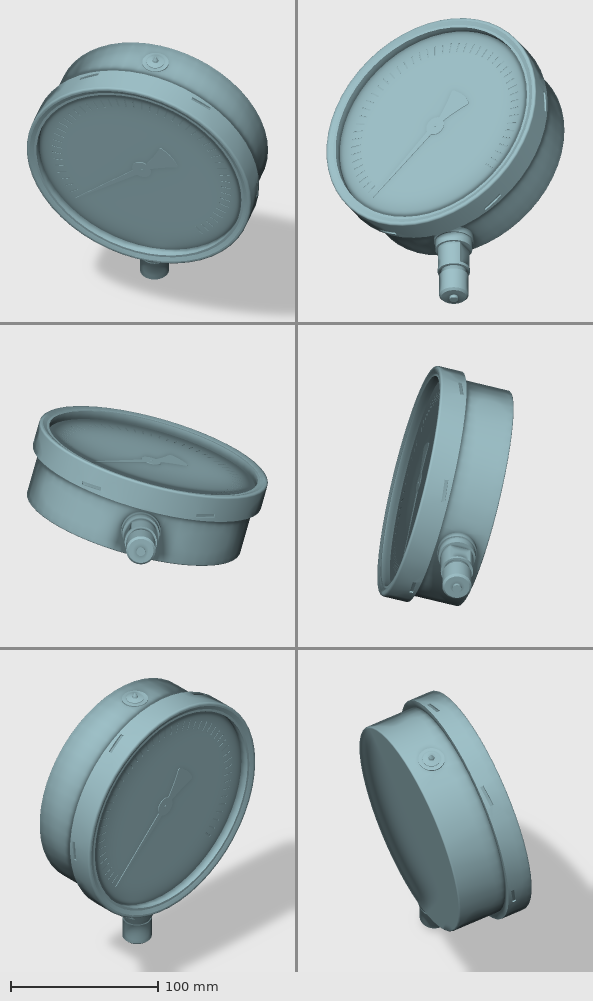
import cadquery as cq

BEZEL_DIAMETER = 161.0
TOTAL_DEPTH = 53.0
TOTAL_HEIGHT = 205.5
BEZEL_RADIUS = BEZEL_DIAMETER / 2
BOTTOM_Z = BEZEL_RADIUS - TOTAL_HEIGHT

BEZEL_DEPTH = 18.0
BEZEL_ROUNDING = 1.5
MOUTH_FRONT_RADIUS = 78.0
MOUTH_DEPTH = 1.2

NOTCH_COUNT = 6
NOTCH_LENGTH = 14.8
NOTCH_WIDTH = 2.5
NOTCH_CUT = 1.5
NOTCH_Y = 14.2
NOTCH_TILT = 5.0

CASE_RADIUS = 75.2
CASE_ROUNDING = 1.0
DIAL_OPENING_RADIUS = 147.0 / 2
DIAL_Y = 7.2
DIAL_THICKNESS = 1.8
CASE_FRONT_Y = DIAL_Y + DIAL_THICKNESS

MARK_COUNT = 50
MARK_PITCH = 5.5
FIRST_MARK_ANGLE = -47.5
MARK_INNER_RADIUS = 57.3
MARK_OUTER_RADIUS = 64.3
MARK_WIDTH = 1.0
MARK_DEPTH = 0.2

POINTER_THICKNESS = 0.5
POINTER_ANGLE = 222.1
POINTER_LENGTH = 64.5
POINTER_TIP_WIDTH = 0.5
POINTER_ROOT_WIDTH = 4.3
HUB_RADIUS = 6.8
TAIL_RADIUS = 28.4
TAIL_ROOT_HALF_WIDTH = 2.5
TAIL_MIDDLE = (14.4, 4.7)
TAIL_END = (26.5, 9.9)
TAIL_ROUNDING = 1.5
PIVOT_DIAMETER = 1.56

SOCKET_Y = 34.0
SEAT_DEPTH = 6.2
SEAT_Z = SEAT_DEPTH - CASE_RADIUS
GROMMET_DIAMETER = 27.0
GROMMET_BOTTOM_Z = -78.5
COLLAR_DIAMETER = 25.0
COLLAR_BOTTOM_Z = -84.9
NECK_DIAMETER = 22.0
NECK_BOTTOM_Z = -102.8
FLATS_WIDTH = 16.9
FLATS_BOTTOM_Z = -100.7
GROOVE_DIAMETER = 17.9
THREAD_DIAMETER = 20.0
THREAD_TOP_Z = -106.2
THREAD_BOTTOM_Z = -122.9
THREAD_CHAMFER = 1.5
SPIGOT_DIAMETER = 6.0

PLUG_Y = 36.0
PLUG_SEAT_Z = 69.0
PLUG_RING_DIAMETER = 17.9
PLUG_RING_TOP_Z = 75.6
PLUG_DIAMETER = 12.0
PLUG_RIM_Z = 76.0
PLUG_CROWN_Z = 76.9
NIPPLE_BASE_DIAMETER = 4.1
NIPPLE_DIAMETER = 3.3
NIPPLE_SHOULDER_Z = 78.0


def front_disc(radius, y_front, depth):
    """Disc around the gauge axis, reaching back from y_front."""
    plane = cq.Workplane("XZ", origin=(0, y_front, 0))
    return plane.circle(radius).extrude(-depth)


def upright_cylinder(diameter, y_axis, z_bottom, z_top):
    plane = cq.Workplane("XY", origin=(0, y_axis, z_bottom))
    return plane.circle(diameter / 2).extrude(z_top - z_bottom)


def upright_revolution(outline, y_axis):
    """Turn an outline of (radius, z) points about the vertical line at y_axis."""
    profile = cq.Workplane("XZ", origin=(0, y_axis, 0)).polyline(outline).close()
    return profile.revolve(360, (0, 0, 0), (0, 1, 0))


def make_bezel():
    ring = front_disc(BEZEL_RADIUS, 0, BEZEL_DEPTH)
    ring = ring.faces("<Y").edges().fillet(BEZEL_ROUNDING)
    mouth = (
        cq.Workplane("XY")
        .polyline([
            (0, 0),
            (MOUTH_FRONT_RADIUS, 0),
            (CASE_RADIUS, MOUTH_DEPTH),
            (CASE_RADIUS, BEZEL_DEPTH),
            (0, BEZEL_DEPTH),
        ])
        .close()
        .revolve(360, (0, 0, 0), (0, 1, 0))
    )
    ring = ring.cut(mouth)
    notch = (
        cq.Workplane("XY")
        .box(NOTCH_LENGTH, NOTCH_WIDTH, 2 * NOTCH_CUT)
        .rotate((0, 0, 0), (0, 0, 1), NOTCH_TILT)
        .translate((0, NOTCH_Y, BEZEL_RADIUS))
    )
    for index in range(NOTCH_COUNT):
        angle = (index + 0.5) * 360 / NOTCH_COUNT
        ring = ring.cut(notch.rotate((0, 0, 0), (0, 1, 0), angle))
    return ring


def make_spacer():
    depth = DIAL_Y - MOUTH_DEPTH
    ring = front_disc(CASE_RADIUS, MOUTH_DEPTH, depth)
    return ring.cut(front_disc(DIAL_OPENING_RADIUS, MOUTH_DEPTH, depth))


def make_marks():
    """Bars that engrave the scale marks."""
    length = MARK_OUTER_RADIUS - MARK_INNER_RADIUS
    middle = (MARK_OUTER_RADIUS + MARK_INNER_RADIUS) / 2
    last_angle = FIRST_MARK_ANGLE + (MARK_COUNT - 1) * MARK_PITCH
    return (
        cq.Workplane("XZ", origin=(0, DIAL_Y, 0))
        .polarArray(middle, FIRST_MARK_ANGLE, last_angle - FIRST_MARK_ANGLE, MARK_COUNT)
        .rect(length, MARK_WIDTH)
        .extrude(-MARK_DEPTH)
    )


def make_dial():
    dial = front_disc(CASE_RADIUS, DIAL_Y, DIAL_THICKNESS)
    dial = dial.cut(front_disc(PIVOT_DIAMETER / 2, DIAL_Y, DIAL_THICKNESS))
    return dial.cut(make_marks())


def make_pointer():
    """Needle drawn along +X with its tail along -X, then turned to its reading."""
    front_y = DIAL_Y - POINTER_THICKNESS
    plane = cq.Workplane("XZ", origin=(0, front_y, 0))
    needle = plane.polyline([
        (0, POINTER_ROOT_WIDTH / 2),
        (HUB_RADIUS, POINTER_ROOT_WIDTH / 2),
        (POINTER_LENGTH, POINTER_TIP_WIDTH / 2),
        (POINTER_LENGTH, -POINTER_TIP_WIDTH / 2),
        (HUB_RADIUS, -POINTER_ROOT_WIDTH / 2),
        (0, -POINTER_ROOT_WIDTH / 2),
    ]).close().extrude(-POINTER_THICKNESS)

    middle_x, middle_z = TAIL_MIDDLE
    end_x, end_z = TAIL_END
    tail = (
        plane.moveTo(0, TAIL_ROOT_HALF_WIDTH)
        .lineTo(-HUB_RADIUS, TAIL_ROOT_HALF_WIDTH)
        .threePointArc((-middle_x, middle_z), (-end_x, end_z))
        .threePointArc((-TAIL_RADIUS, 0), (-end_x, -end_z))
        .threePointArc((-middle_x, -middle_z), (-HUB_RADIUS, -TAIL_ROOT_HALF_WIDTH))
        .lineTo(0, -TAIL_ROOT_HALF_WIDTH)
        .close()
        .extrude(-POINTER_THICKNESS)
        .edges("|Y")
        .edges("<X")
        .fillet(TAIL_ROUNDING)
    )
    hub = front_disc(HUB_RADIUS, front_y, POINTER_THICKNESS)
    pointer = hub.union(needle).union(tail)
    pointer = pointer.cut(front_disc(PIVOT_DIAMETER / 2, front_y, POINTER_THICKNESS))
    return pointer.rotate((0, 0, 0), (0, 1, 0), -POINTER_ANGLE)


def make_pivot():
    front_y = DIAL_Y - 2 * POINTER_THICKNESS
    return front_disc(PIVOT_DIAMETER / 2, front_y, CASE_FRONT_Y - front_y)


def make_case():
    case = front_disc(CASE_RADIUS, CASE_FRONT_Y, TOTAL_DEPTH - CASE_FRONT_Y)
    case = case.faces(">Y").edges().fillet(CASE_ROUNDING)
    case = case.cut(upright_cylinder(GROMMET_DIAMETER, SOCKET_Y, BOTTOM_Z, SEAT_Z))
    return case.cut(upright_cylinder(PLUG_RING_DIAMETER, PLUG_Y, PLUG_SEAT_Z, BEZEL_RADIUS))


def make_grommet():
    ring = upright_cylinder(GROMMET_DIAMETER, SOCKET_Y, GROMMET_BOTTOM_Z, SEAT_Z)
    return ring.cut(upright_cylinder(COLLAR_DIAMETER, SOCKET_Y, GROMMET_BOTTOM_Z, SEAT_Z))


def make_socket():
    collar = COLLAR_DIAMETER / 2
    neck = NECK_DIAMETER / 2
    groove = GROOVE_DIAMETER / 2
    thread = THREAD_DIAMETER / 2
    spigot = SPIGOT_DIAMETER / 2
    socket = upright_revolution([
        (0, SEAT_Z),
        (collar, SEAT_Z),
        (collar, COLLAR_BOTTOM_Z),
        (neck, COLLAR_BOTTOM_Z),
        (neck, NECK_BOTTOM_Z),
        (groove, NECK_BOTTOM_Z),
        (groove, THREAD_TOP_Z),
        (thread, THREAD_TOP_Z),
        (thread, THREAD_BOTTOM_Z + THREAD_CHAMFER),
        (thread - THREAD_CHAMFER, THREAD_BOTTOM_Z),
        (spigot, THREAD_BOTTOM_Z),
        (spigot, BOTTOM_Z),
        (0, BOTTOM_Z),
    ], SOCKET_Y)
    flats_height = COLLAR_BOTTOM_Z - FLATS_BOTTOM_Z
    middle_z = (COLLAR_BOTTOM_Z + FLATS_BOTTOM_Z) / 2
    for side in (-1, 1):
        cutter = cq.Workplane("XY").box(NECK_DIAMETER, NECK_DIAMETER, flats_height)
        middle_x = side * (FLATS_WIDTH + NECK_DIAMETER) / 2
        socket = socket.cut(cutter.translate((middle_x, SOCKET_Y, middle_z)))
    return socket


def make_plug_ring():
    ring = upright_cylinder(PLUG_RING_DIAMETER, PLUG_Y, PLUG_SEAT_Z, PLUG_RING_TOP_Z)
    return ring.cut(upright_cylinder(PLUG_DIAMETER, PLUG_Y, PLUG_SEAT_Z, PLUG_RING_TOP_Z))


def make_plug():
    return upright_revolution([
        (0, PLUG_SEAT_Z),
        (PLUG_DIAMETER / 2, PLUG_SEAT_Z),
        (PLUG_DIAMETER / 2, PLUG_RIM_Z),
        (NIPPLE_BASE_DIAMETER / 2, PLUG_CROWN_Z),
        (NIPPLE_DIAMETER / 2, NIPPLE_SHOULDER_Z),
        (0, BEZEL_RADIUS),
    ], PLUG_Y)


bezel = make_bezel()
spacer = make_spacer()
dial = make_dial()
pointer = make_pointer()
pivot = make_pivot()
case = make_case()
grommet = make_grommet()
socket = make_socket()
plug_ring = make_plug_ring()
plug = make_plug()

result = cq.Compound.makeCompound([
    bezel.val(),
    spacer.val(),
    dial.val(),
    pointer.val(),
    pivot.val(),
    case.val(),
    grommet.val(),
    socket.val(),
    plug_ring.val(),
    plug.val(),
])